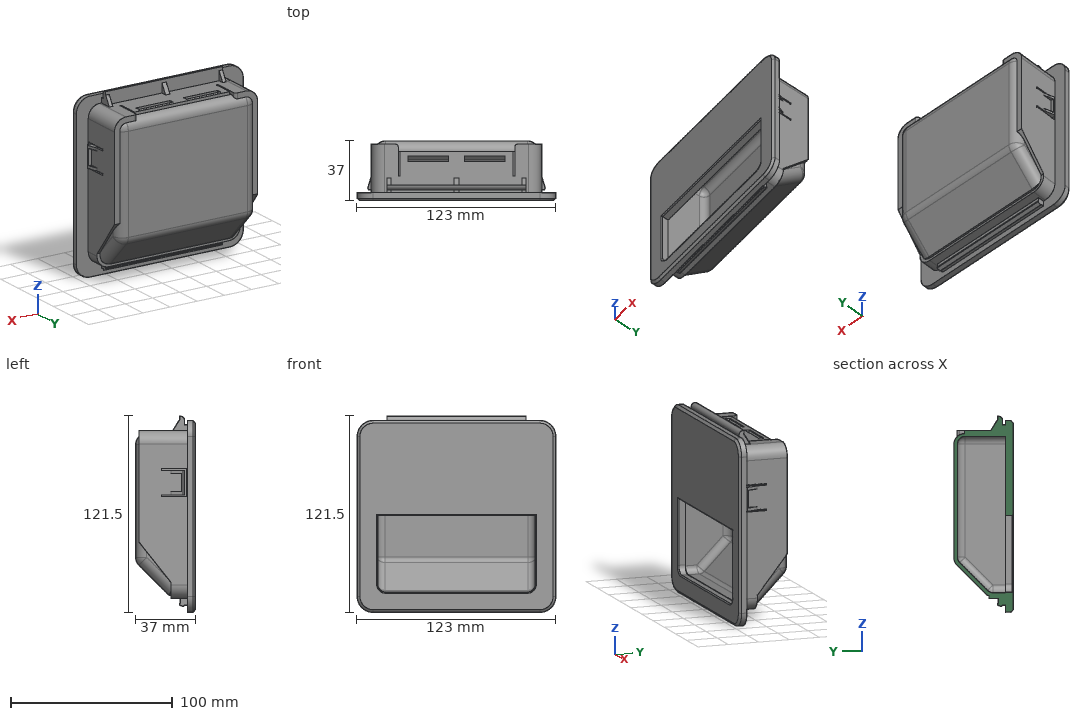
import cadquery as cq
import math


FLANGE_WIDTH = 123.0
FLANGE_HEIGHT = 118.8
FLANGE_THICKNESS = 5.0
FLANGE_CORNER_RADIUS = 10.0
FLANGE_BEVEL_INSET = 1.7
FLANGE_BEVEL_DEPTH = 1.5

FRAME_HALF_WIDTH = 52.8
FRAME_BOTTOM = 8.5
FRAME_TOP = 112.7
FRAME_REAR = 34.9
FRAME_CORNER_RADIUS = 8.4
FRAME_WALL = 2.0
FRAME_FOOT_REAR = 15.1
FRAME_SLOPE_BOTTOM = 18.6
FRAME_SLOPE_TOP = 43.5

CUP_REAR = 37.0
CUP_WALL = 1.8
CUP_BACK_WALL = 2.5
CUP_HALF_WIDTH = FRAME_HALF_WIDTH - FRAME_WALL
CUP_BOTTOM = FRAME_BOTTOM + FRAME_WALL
CUP_TOP = FRAME_TOP - FRAME_WALL
CUP_SLOPE_TOP = 31.2
CUP_RADIUS = 6.9
CAVITY_RADIUS = 4.7
SLOPE_ANGLE = 45.0
SLOPE_WALL_SHIFT = CUP_BACK_WALL * math.tan(math.radians(SLOPE_ANGLE / 2))

OPENING_STEP = 0.2
OPENING_HALF_WIDTH = CUP_HALF_WIDTH - CUP_WALL - OPENING_STEP
OPENING_BOTTOM = CUP_BOTTOM + CUP_WALL + OPENING_STEP
OPENING_TOP = 59.9
OPENING_CORNER_RADIUS = 5.2
OPENING_BEVEL = 0.7

TAB_REAR = 30.4
TAB_HALF_WIDTH = 36.0
TAB_CORNER_RADIUS = 1.7
SLIT_WIDTH = 1.0
TAB_SLIT_FRONT = 15.4
SLOT_CENTER_X = 17.5
SLOT_LENGTH = 25.0
SLOT_FRONT = 24.4
SLOT_REAR = 27.5
SLOT_LEDGE = 0.9
SLOT_REAR_WALL = 0.6

CLIP_BOTTOM = 71.8
CLIP_TOP = 88.9
CLIP_SLIT_FRONT = 5.4
CLIP_SLIT_REAR = 21.0
CLIP_FRONT = 6.6
CLIP_PEAK = 7.7
CLIP_REAR = 15.0
CLIP_REACH = 2.2
CLIP_TIP_DROP = 0.5
CLIP_NOTCH_FRONT = 8.5
CLIP_RIB = 2.0

HOOK_HALF_LENGTH = 43.0
HOOK_TOP = 121.5
HOOK_FRONT = 6.6
HOOK_REAR = 9.8
HOOK_ROUNDING = 2.8
END_GUSSET_WIDTH = 2.6
MIDDLE_GUSSET_WIDTH = 3.2
GUSSET_REAR = 14.0
GUSSET_TOP = 119.3
GUSSET_SHELF = 116.2
LOWER_HOOK_REAR = 9.5
LOWER_HOOK_SHELF = 4.4
LIP_FRONT = 6.8
LIP_TIP_Y = 7.6
LIP_TIP_Z = 3.6
LIP_REAR = 10.0
LIP_REAR_BOTTOM = 4.7
LIP_REAR_TOP = 5.4
LIP_ROOT = 5.9


def box(x_range, y_range, z_range):
    """Axis-aligned block between the given limits."""
    sizes = [high - low for low, high in (x_range, y_range, z_range)]
    corner = (x_range[0], y_range[0], z_range[0])
    return cq.Workplane("XY").box(*sizes, centered=False).translate(corner)


def upright_plate(half_width, bottom, top, front, rear):
    """Rectangular plate standing in the XZ plane."""
    return box((-half_width, half_width), (front, rear), (bottom, top))


def side_prism(points, half_length, center_x=0.0):
    """Outline given as (y, z) points, extruded along X to both sides of center_x."""
    prism = cq.Workplane("YZ").polyline(points).close().extrude(half_length, both=True)
    return prism.translate((center_x, 0, 0))


def make_opening():
    """Window through the flange, slightly narrower than the cup behind it."""
    window = upright_plate(OPENING_HALF_WIDTH, OPENING_BOTTOM, OPENING_TOP, 0, FLANGE_THICKNESS)
    return window.edges("|Y and <Z").fillet(OPENING_CORNER_RADIUS)


def make_flange():
    """Rounded front plate, bevelled around its rim and around the opening."""
    flange = upright_plate(FLANGE_WIDTH / 2, 0, FLANGE_HEIGHT, 0, FLANGE_THICKNESS)
    flange = flange.edges("|Y").fillet(FLANGE_CORNER_RADIUS)
    flange = flange.faces("<Y").chamfer(FLANGE_BEVEL_INSET, FLANGE_BEVEL_DEPTH)
    flange = flange.cut(make_opening())
    lip = flange.faces("<Y").wires(cq.selectors.AreaNthSelector(0))
    return lip.chamfer(OPENING_BEVEL)


def make_frame():
    frame = upright_plate(FRAME_HALF_WIDTH, FRAME_BOTTOM, FRAME_TOP, FLANGE_THICKNESS, FRAME_REAR)
    frame = frame.edges("|Y").fillet(FRAME_CORNER_RADIUS)
    lower_rear = [
        (FRAME_FOOT_REAR, 0),
        (FRAME_FOOT_REAR, FRAME_SLOPE_BOTTOM),
        (FRAME_REAR, FRAME_SLOPE_TOP),
        (CUP_REAR, FRAME_SLOPE_TOP),
        (CUP_REAR, 0),
    ]
    frame = frame.cut(side_prism(lower_rear, FLANGE_WIDTH))
    return frame.cut(make_tab_window())


def sloped_block(half_width, rear, bottom, top, slope_top):
    """Block behind the flange whose lower rear is cut off at 45 degrees."""
    front = FLANGE_THICKNESS
    slope_front = rear - (slope_top - bottom)
    outline = [(front, bottom), (slope_front, bottom), (rear, slope_top), (rear, top), (front, top)]
    return side_prism(outline, half_width)


def make_cup():
    """Outside of the cup, rounded except at its front and where its floor meets the slope."""
    cup = sloped_block(CUP_HALF_WIDTH, CUP_REAR, CUP_BOTTOM, CUP_TOP, CUP_SLOPE_TOP)
    return cup.edges("not(<Y)").edges("not(|X and <Z)").fillet(CUP_RADIUS)


def make_cavity():
    """Inside of the cup, rounded except at its front."""
    cavity = sloped_block(
        CUP_HALF_WIDTH - CUP_WALL,
        CUP_REAR - CUP_BACK_WALL,
        CUP_BOTTOM + CUP_WALL,
        CUP_TOP - CUP_WALL,
        CUP_SLOPE_TOP + SLOPE_WALL_SHIFT,
    )
    return cavity.edges("not(<Y)").fillet(CAVITY_RADIUS)


def make_tab_window():
    """Gap in the rear of the frame's top wall, widened by rounded corners at the frame's rear."""
    half = TAB_HALF_WIDTH
    bottom = CUP_TOP - CUP_RADIUS
    window = box((-half, half), (TAB_REAR, FRAME_REAR), (bottom, FRAME_TOP))
    for side in (-1, 1):
        edge_x = side * half
        rounding = (
            cq.Workplane("XY", origin=(0, 0, bottom))
            .moveTo(edge_x, FRAME_REAR - TAB_CORNER_RADIUS)
            .radiusArc((edge_x + side * TAB_CORNER_RADIUS, FRAME_REAR), side * TAB_CORNER_RADIUS)
            .lineTo(edge_x, FRAME_REAR)
            .close()
            .extrude(FRAME_TOP - bottom)
        )
        window = window.union(rounding)
    return window


def make_tab_slits():
    """Slit along each side of the spring tab, as deep as the frame wall."""
    inner_x = TAB_HALF_WIDTH - SLIT_WIDTH
    slit = box((inner_x, TAB_HALF_WIDTH), (TAB_SLIT_FRONT, TAB_REAR), (CUP_TOP, FRAME_TOP))
    return slit.union(slit.mirror("YZ"))


def make_latch_slots():
    """Two slots in the spring tab, each with a 45 degree ramp rising to the rear."""
    ramp_top = FRAME_TOP - SLOT_REAR_WALL
    floor_z = ramp_top - (SLOT_REAR - SLOT_FRONT - SLOT_LEDGE)
    profile = [
        (SLOT_FRONT, FRAME_TOP),
        (SLOT_FRONT, floor_z),
        (SLOT_FRONT + SLOT_LEDGE, floor_z),
        (SLOT_REAR, ramp_top),
        (SLOT_REAR, FRAME_TOP),
    ]
    slot = side_prism(profile, SLOT_LENGTH / 2, SLOT_CENTER_X)
    return slot.union(slot.mirror("YZ"))


def make_clip_slits():
    """U-shaped slit around each snap clip, as deep as the frame wall."""
    depth_x = (CUP_HALF_WIDTH, FRAME_HALF_WIDTH)
    outer = box(depth_x, (CLIP_SLIT_FRONT, CLIP_SLIT_REAR), (CLIP_BOTTOM, CLIP_TOP))
    tongue = box(
        depth_x, (CLIP_FRONT, CLIP_SLIT_REAR), (CLIP_BOTTOM + SLIT_WIDTH, CLIP_TOP - SLIT_WIDTH)
    )
    slit = outer.cut(tongue)
    return slit.union(slit.mirror("YZ"))


def make_clips():
    """Wedge-shaped snap on each side, notched so that two ribs back up its crest."""
    bottom = CLIP_BOTTOM + SLIT_WIDTH
    top = CLIP_TOP - SLIT_WIDTH
    tip_x = FRAME_HALF_WIDTH + CLIP_REACH
    wedge = (
        cq.Workplane("XY", origin=(0, 0, bottom))
        .polyline([
            (CUP_HALF_WIDTH, CLIP_FRONT),
            (tip_x - CLIP_TIP_DROP, CLIP_FRONT),
            (tip_x, CLIP_PEAK),
            (FRAME_HALF_WIDTH, CLIP_REAR),
            (CUP_HALF_WIDTH, CLIP_REAR),
        ])
        .close()
        .extrude(top - bottom)
    )
    notch = box(
        (FRAME_HALF_WIDTH, tip_x), (CLIP_NOTCH_FRONT, CLIP_REAR), (bottom + CLIP_RIB, top - CLIP_RIB)
    )
    clip = wedge.cut(notch)
    return clip.union(clip.mirror("YZ"))


def make_upper_hook():
    """Round-edged bar on top of the frame, held by three gussets."""
    bar = upright_plate(HOOK_HALF_LENGTH, FRAME_TOP, HOOK_TOP, HOOK_FRONT, HOOK_REAR)
    hook = bar.edges(">Z and <Y").fillet(HOOK_ROUNDING)
    gusset = [
        (FLANGE_THICKNESS, FRAME_TOP),
        (FLANGE_THICKNESS, GUSSET_SHELF),
        (HOOK_REAR, GUSSET_SHELF),
        (HOOK_REAR, GUSSET_TOP),
        (GUSSET_REAR, FRAME_TOP),
    ]
    end_x = HOOK_HALF_LENGTH - END_GUSSET_WIDTH / 2
    hook = hook.union(side_prism(gusset, MIDDLE_GUSSET_WIDTH / 2))
    for center_x in (-end_x, end_x):
        hook = hook.union(side_prism(gusset, END_GUSSET_WIDTH / 2, center_x))
    return hook


def make_lower_hook():
    """Low rib under the frame with a small lip along its rear edge."""
    outline = [
        (FLANGE_THICKNESS, FRAME_BOTTOM),
        (FLANGE_THICKNESS, LOWER_HOOK_SHELF),
        (LIP_FRONT, LOWER_HOOK_SHELF),
        (LIP_TIP_Y, LIP_TIP_Z),
        (LIP_REAR, LIP_REAR_BOTTOM),
        (LIP_REAR, LIP_REAR_TOP),
        (LOWER_HOOK_REAR, LIP_ROOT),
        (LOWER_HOOK_REAR, FRAME_BOTTOM),
    ]
    return side_prism(outline, HOOK_HALF_LENGTH)


result = (
    make_flange()
    .union(make_frame())
    .union(make_cup())
    .cut(make_cavity())
    .cut(make_tab_slits())
    .cut(make_latch_slots())
    .cut(make_clip_slits())
    .union(make_clips())
    .union(make_upper_hook())
    .union(make_lower_hook())
)